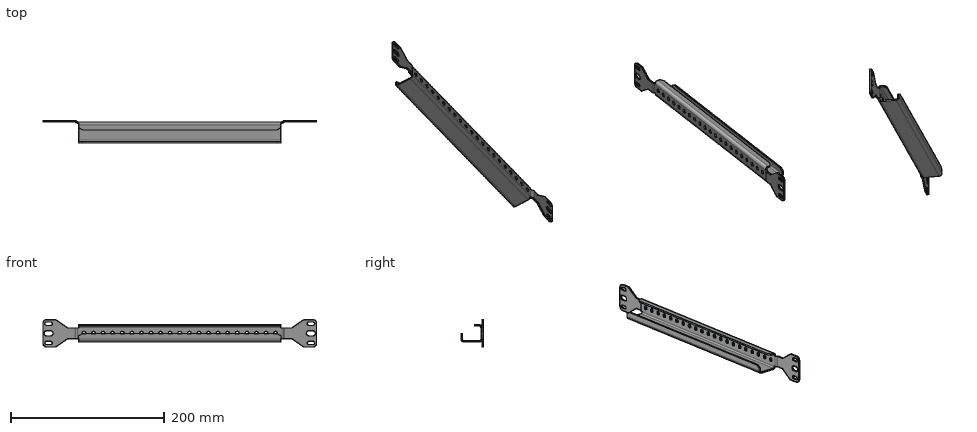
import math

import cadquery as cq

OVERALL_LENGTH = 357.0
OVERALL_DEPTH = 29.76
SHEET = 2.0
CUT_MARGIN = 1.0

RAIL_LENGTH = 264.0
RAIL_HEIGHT = 22.8
RAIL_DEPTH = 28.0
TOP_FLANGE_DEPTH = 10.5
LIP_HEIGHT = 11.0
RAIL_BEND_INNER = 2.0
CHAMFER_LENGTH = 5.0
CHAMFER_WIDTH = 3.0

HOLE_COUNT = 21
HOLE_PITCH = 12.5
HOLE_DIAMETER = 4.8

PLATE_HEIGHT = 36.0
PLATE_LENGTH = 16.8
PLATE_CORNER_RADIUS = 5.0
TAPER_LENGTH = 15.5
NECK_HEIGHT = 14.4
NECK_BEND_INNER = 1.5
NECK_BEND_TO_RAIL = 1.0

SLOT_FROM_END = 7.5
SIDE_SLOT_LENGTH = 9.5
SIDE_SLOT_WIDTH = 4.0
SIDE_SLOT_Z = 12.5
MIDDLE_SLOT_LENGTH = 11.5
MIDDLE_SLOT_WIDTH = 6.5

PLATE_END_X = OVERALL_LENGTH / 2
RAIL_END_X = RAIL_LENGTH / 2
PLATE_BACK_Y = OVERALL_DEPTH / 2
PLATE_FRONT_Y = PLATE_BACK_Y - SHEET
RAIL_FRONT_Y = -OVERALL_DEPTH / 2
RAIL_BACK_Y = RAIL_FRONT_Y + RAIL_DEPTH
WEB_FRONT_Y = RAIL_BACK_Y - SHEET
RAIL_TOP_Z = RAIL_HEIGHT / 2
RAIL_BOTTOM_Z = -RAIL_HEIGHT / 2
TOP_FLANGE_FRONT_Y = RAIL_BACK_Y - TOP_FLANGE_DEPTH
LIP_TOP_Z = RAIL_BOTTOM_Z + LIP_HEIGHT


def both_ends(right_end):
    """Shape at the +X end together with its mirror image at the -X end."""
    return right_end.union(right_end.mirror("YZ"))


def rounded_bar(depth, height, radius):
    """Bar of the rail's length with its four long edges rounded."""
    return cq.Workplane("YZ").rect(depth, height).extrude(RAIL_END_X, both=True).edges("|X").fillet(radius)


def rail():
    """Bent sheet: a rounded tube, opened between the top flange and the front lip."""
    outside = rounded_bar(RAIL_DEPTH, RAIL_HEIGHT, RAIL_BEND_INNER + SHEET)
    inside = rounded_bar(RAIL_DEPTH - 2 * SHEET, RAIL_HEIGHT - 2 * SHEET, RAIL_BEND_INNER)
    tube = outside.cut(inside).translate((0, (RAIL_FRONT_Y + RAIL_BACK_Y) / 2, 0))
    opening = (
        cq.Workplane("YZ")
        .moveTo(RAIL_FRONT_Y, LIP_TOP_Z)
        .lineTo(TOP_FLANGE_FRONT_Y, LIP_TOP_Z)
        .lineTo(TOP_FLANGE_FRONT_Y, RAIL_TOP_Z)
        .lineTo(RAIL_FRONT_Y, RAIL_TOP_Z)
        .close()
        .extrude(RAIL_END_X, both=True)
    )
    return tube.cut(opening)


def top_flange_chamfers():
    """Triangles that clip the front corners of the top flange."""
    triangle = (
        cq.Workplane("XY", origin=(RAIL_END_X, TOP_FLANGE_FRONT_Y, RAIL_TOP_Z - SHEET))
        .lineTo(-CHAMFER_LENGTH, 0)
        .lineTo(0, CHAMFER_WIDTH)
        .close()
        .extrude(SHEET)
    )
    return both_ends(triangle)


def lip_chamfers():
    """Triangles that clip the top corners of the front lip."""
    triangle = (
        cq.Workplane("XZ", origin=(RAIL_END_X, RAIL_FRONT_Y + SHEET, LIP_TOP_Z))
        .lineTo(-CHAMFER_LENGTH, 0)
        .lineTo(0, -CHAMFER_WIDTH)
        .close()
        .extrude(SHEET)
    )
    return both_ends(triangle)


def web_holes():
    """Row of cylinders through the web."""
    return (
        cq.Workplane("XZ", origin=(0, RAIL_BACK_Y + CUT_MARGIN, 0))
        .rarray(HOLE_PITCH, 1, HOLE_COUNT, 1)
        .circle(HOLE_DIAMETER / 2)
        .extrude(SHEET + 2 * CUT_MARGIN)
    )


def end_strip():
    """Full-height sheet with the offset bend, from the rail end to the plate end.

    The offset is made by two opposite arcs that meet at a common slope.
    """
    inner = NECK_BEND_INNER
    outer = NECK_BEND_INNER + SHEET
    offset = PLATE_BACK_Y - RAIL_BACK_Y
    angle = math.acos(1 - offset / (inner + outer))
    rail_side_x = RAIL_END_X + NECK_BEND_TO_RAIL
    plate_side_x = rail_side_x + (inner + outer) * math.sin(angle)
    rail_side_center_y = RAIL_BACK_Y + inner
    plate_side_center_y = PLATE_FRONT_Y - inner

    def rail_side(radius, turn):
        return (rail_side_x + radius * math.sin(turn), rail_side_center_y - radius * math.cos(turn))

    def plate_side(radius, turn):
        return (plate_side_x - radius * math.sin(turn), plate_side_center_y + radius * math.cos(turn))

    half_turn = angle / 2
    return (
        cq.Workplane("XY", origin=(0, 0, -PLATE_HEIGHT / 2))
        .moveTo(RAIL_END_X, WEB_FRONT_Y)
        .lineTo(*rail_side(outer, 0))
        .threePointArc(rail_side(outer, half_turn), rail_side(outer, angle))
        .threePointArc(plate_side(inner, half_turn), plate_side(inner, 0))
        .lineTo(PLATE_END_X, PLATE_FRONT_Y)
        .lineTo(PLATE_END_X, PLATE_BACK_Y)
        .lineTo(*plate_side(outer, 0))
        .threePointArc(plate_side(outer, half_turn), plate_side(outer, angle))
        .threePointArc(rail_side(inner, half_turn), rail_side(inner, 0))
        .lineTo(RAIL_END_X, RAIL_BACK_Y)
        .close()
        .extrude(PLATE_HEIGHT)
    )


def end_outline():
    """Block with the outline of neck, taper and plate as seen along Y."""
    taper_wide_x = PLATE_END_X - PLATE_LENGTH
    taper_narrow_x = taper_wide_x - TAPER_LENGTH
    upper_edge = [
        (RAIL_END_X, NECK_HEIGHT / 2),
        (taper_narrow_x, NECK_HEIGHT / 2),
        (taper_wide_x, PLATE_HEIGHT / 2),
        (PLATE_END_X, PLATE_HEIGHT / 2),
    ]
    lower_edge = [(x, -z) for x, z in reversed(upper_edge)]
    return (
        cq.Workplane("XZ")
        .polyline(upper_edge + lower_edge)
        .close()
        .extrude(OVERALL_DEPTH, both=True)
        .edges("|Y and >X")
        .fillet(PLATE_CORNER_RADIUS)
    )


def plate_slots():
    """Large slot on the middle line and a small slot above and below it."""
    workplane = cq.Workplane("XZ", origin=(PLATE_END_X - SLOT_FROM_END, PLATE_BACK_Y + CUT_MARGIN, 0))
    depth = SHEET + 2 * CUT_MARGIN
    middle = workplane.slot2D(MIDDLE_SLOT_LENGTH, MIDDLE_SLOT_WIDTH).extrude(depth)
    sides = (
        workplane.pushPoints([(0, SIDE_SLOT_Z), (0, -SIDE_SLOT_Z)])
        .slot2D(SIDE_SLOT_LENGTH, SIDE_SLOT_WIDTH)
        .extrude(depth)
    )
    return middle.union(sides)


def mounting_end():
    """Neck and mounting plate at the +X end."""
    return end_strip().intersect(end_outline()).cut(plate_slots())


trimmed_rail = rail().cut(top_flange_chamfers()).cut(lip_chamfers()).cut(web_holes())
result = trimmed_rail.union(both_ends(mounting_end()))